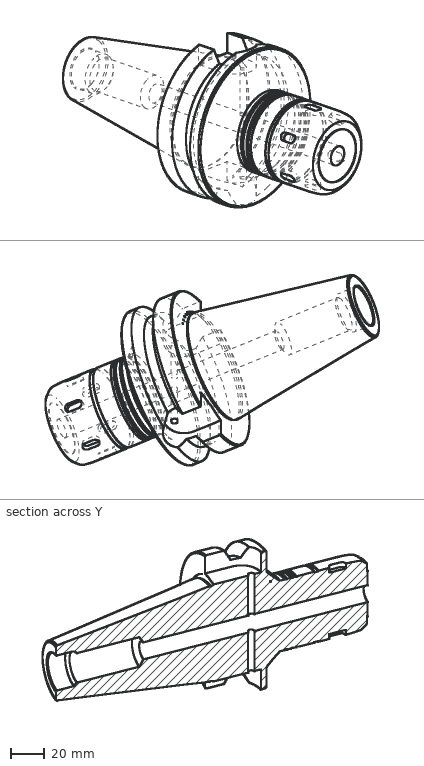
import cadquery as cq
import math

total_length = 206.8

taper_length = 101.7
taper_small_radius = 20.0
taper_slope = 7 / 48
taper_large_radius = taper_small_radius + taper_slope * taper_length
shank_chamfer = 0.8

relief_start = 102.8
relief_radius = 68.9 / 2

flange_start = 104.8
flange_end = 139.8
flange_radius = 50.0
flange_front_chamfer = 0.6
flange_back_chamfer = 1.0
vee_radius = 42.4
vee_bottom_start = 121.8
vee_bottom_end = 127.8
vee_half_angle = math.radians(30)
vee_flank_width = (flange_radius - vee_radius) * math.tan(vee_half_angle)
relief_fillet = flange_start - relief_start

body_start = 148.5
body_radius = 25.8
cone_angle = math.radians(45)
cone_root_radius = body_radius + (body_start - flange_end) * math.tan(cone_angle)
cone_fillet = 3.0
cone_tangent = cone_fillet * math.tan(cone_angle / 2)
cone_fillet_run = cone_tangent * math.cos(cone_angle)

shallow_radius = 51.0 / 2
body_groove_start = 151.5
body_groove_end = 157.5
body_groove_flank = 0.5
rib_start = 153.2
rib_end = 156.0

nut_groove_start = 171.5
nut_groove_end = 174.0

nut_start = 159.5
nut_chamfer_length = 1.7
nut_radius = 52.0 / 2
nut_taper_start = 196.3
nut_round_start = 201.0
nut_round_radius = 4.3
nut_bevel_start = 203.7
nut_bevel_start_radius = 24.5
nut_bevel_end = 205.1
nut_bevel_end_radius = nut_bevel_start_radius - (nut_bevel_end - nut_bevel_start)
nut_face = 206.4
nut_face_radius = 43.0 / 2
nut_face_round = 2.3
end_boss_radius = 16.5

spanner_slot_count = 6
spanner_slot_center = 186.7
spanner_slot_length = 11.0
spanner_slot_width = 5.2
spanner_slot_depth = 3.5

keyway_width = 25.5
keyway_end = 135.9
keyway_floor = 35.4
pin_hole_center = 129.7
pin_hole_diameter = 4.0

entry_diameter = 25.0
entry_depth = 12.0
entry_chamfer = 0.6
thread_diameter = 21.0
thread_depth = 41.4
drill_diameter = 12.0
drill_point_half_angle = math.radians(59)
drill_cone_length = (thread_diameter - drill_diameter) / 2 / math.tan(drill_point_half_angle)
entry_step = (entry_diameter - thread_diameter) / 2


def revolve_about_x(profile):
    """Revolve a closed X-radius profile into a solid about the X axis."""
    return profile.close().revolve(360, (0, 0, 0), (1, 0, 0))


def turned_body():
    """Outer shape of the holder, before the bore, keyways, hole and slots are cut."""
    profile = (
        cq.Workplane("XY")
        .moveTo(0, 0)
        .lineTo(0, taper_small_radius - shank_chamfer)
        .lineTo(shank_chamfer, taper_small_radius + taper_slope * shank_chamfer)
        .lineTo(taper_length, taper_large_radius)
        .lineTo(relief_start, relief_radius)
        .radiusArc((flange_start, relief_radius + relief_fillet), -relief_fillet)
        .lineTo(flange_start, flange_radius - flange_front_chamfer)
        .lineTo(flange_start + flange_front_chamfer, flange_radius)
        .lineTo(vee_bottom_start - vee_flank_width, flange_radius)
        .lineTo(vee_bottom_start, vee_radius)
        .lineTo(vee_bottom_end, vee_radius)
        .lineTo(vee_bottom_end + vee_flank_width, flange_radius)
        .lineTo(flange_end - flange_back_chamfer, flange_radius)
        .lineTo(flange_end, flange_radius - flange_back_chamfer)
        .lineTo(flange_end, cone_root_radius + cone_tangent)
        .radiusArc((flange_end + cone_fillet_run, cone_root_radius - cone_fillet_run), -cone_fillet)
        .lineTo(body_start, body_radius)
        .lineTo(body_groove_start, body_radius)
        .lineTo(body_groove_start + body_groove_flank, shallow_radius)
        .lineTo(rib_start, shallow_radius)
        .lineTo(rib_start, body_radius)
        .lineTo(rib_end, body_radius)
        .lineTo(rib_end, shallow_radius)
        .lineTo(body_groove_end - body_groove_flank, shallow_radius)
        .lineTo(body_groove_end, body_radius)
        .lineTo(nut_start, body_radius)
        .lineTo(nut_start, shallow_radius)
        .lineTo(nut_start + nut_chamfer_length, nut_radius)
        .lineTo(nut_groove_start, nut_radius)
        .lineTo(nut_groove_start, shallow_radius)
        .lineTo(nut_groove_end, shallow_radius)
        .lineTo(nut_groove_end, nut_radius)
        .lineTo(nut_taper_start, nut_radius)
        .lineTo(nut_round_start, shallow_radius)
        .radiusArc((nut_bevel_start, nut_bevel_start_radius), nut_round_radius)
        .lineTo(nut_bevel_end, nut_bevel_end_radius)
        .radiusArc((nut_face, nut_face_radius), nut_face_round)
        .lineTo(nut_face, end_boss_radius)
        .lineTo(total_length, end_boss_radius)
        .lineTo(total_length, 0)
    )
    return revolve_about_x(profile)


def central_bore():
    thread_end = entry_depth + entry_step + thread_depth
    profile = (
        cq.Workplane("XY")
        .moveTo(0, 0)
        .lineTo(0, entry_diameter / 2 + entry_chamfer)
        .lineTo(entry_chamfer, entry_diameter / 2)
        .lineTo(entry_depth, entry_diameter / 2)
        .lineTo(entry_depth + entry_step, thread_diameter / 2)
        .lineTo(thread_end, thread_diameter / 2)
        .lineTo(thread_end + drill_cone_length, drill_diameter / 2)
        .lineTo(total_length, drill_diameter / 2)
        .lineTo(total_length, 0)
    )
    return revolve_about_x(profile)


def keyway():
    """Round-ended slot, open toward the taper, above the keyway floor."""
    half_width = keyway_width / 2
    round_center = keyway_end - half_width
    return (
        cq.Workplane("XY", origin=(0, 0, keyway_floor))
        .moveTo(taper_length, -half_width)
        .lineTo(round_center, -half_width)
        .threePointArc((keyway_end, 0), (round_center, half_width))
        .lineTo(taper_length, half_width)
        .close()
        .extrude(flange_radius)
    )


def pin_hole():
    hole = cq.Workplane("XY", origin=(pin_hole_center, 0, -flange_radius)).circle(pin_hole_diameter / 2)
    return hole.extrude(2 * flange_radius)


def spanner_slot(angle):
    slot = (
        cq.Workplane("XY", origin=(spanner_slot_center, 0, nut_radius - spanner_slot_depth))
        .slot2D(spanner_slot_length, spanner_slot_width)
        .extrude(2 * spanner_slot_depth)
    )
    return slot.rotate((0, 0, 0), (1, 0, 0), angle)


result = turned_body().cut(central_bore()).cut(pin_hole())

for side_angle in (0, 180):
    result = result.cut(keyway().rotate((0, 0, 0), (1, 0, 0), side_angle))

for index in range(spanner_slot_count):
    result = result.cut(spanner_slot(index * 360 / spanner_slot_count))